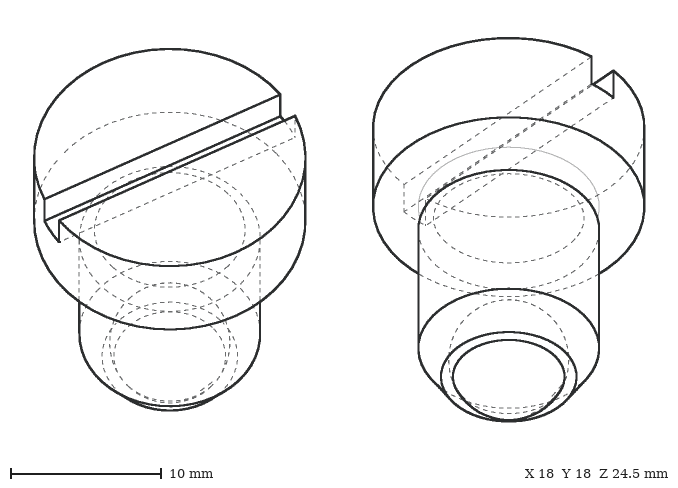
import cadquery as cq

total_height = 24.5
head_radius = 18.0 / 2
head_height = 7.0
shank_radius = 12.0 / 2
groove_radius = 1.0
nose_height = 2.5
nose_radius = 9.0 / 2
ball_radius = 4.0
ball_protrusion = 2.5
slot_width = 2.0
slot_depth = 2.4

nose_z = ball_protrusion
shank_bottom_z = nose_z + nose_height
head_bottom_z = total_height - head_height
groove_middle_z = head_bottom_z - groove_radius
groove_bottom_z = head_bottom_z - 2 * groove_radius


def make_ball():
    """Full ball, partly protruding below the nose."""
    return cq.Workplane("XY").sphere(ball_radius).translate((0, 0, ball_radius))


def make_turned_blank():
    """Head, undercut groove, shank and tapered nose as one revolved profile."""
    return (
        cq.Workplane("XZ")
        .moveTo(0, nose_z)
        .lineTo(nose_radius, nose_z)
        .lineTo(shank_radius, shank_bottom_z)
        .lineTo(shank_radius, groove_bottom_z)
        .threePointArc(
            (shank_radius - groove_radius, groove_middle_z),
            (shank_radius, head_bottom_z),
        )
        .lineTo(head_radius, head_bottom_z)
        .lineTo(head_radius, total_height)
        .lineTo(0, total_height)
        .close()
        .revolve(360, (0, 0, 0), (0, 1, 0))
    )


def make_slot():
    """Screwdriver slot along Y, through the full width of the head."""
    return (
        cq.Workplane("XY")
        .workplane(offset=total_height - slot_depth)
        .rect(slot_width, 2 * head_radius)
        .extrude(slot_depth)
    )


ball = make_ball()
screw = make_turned_blank().cut(make_slot()).cut(ball)

result = cq.Compound.makeCompound([screw.val(), ball.val()])